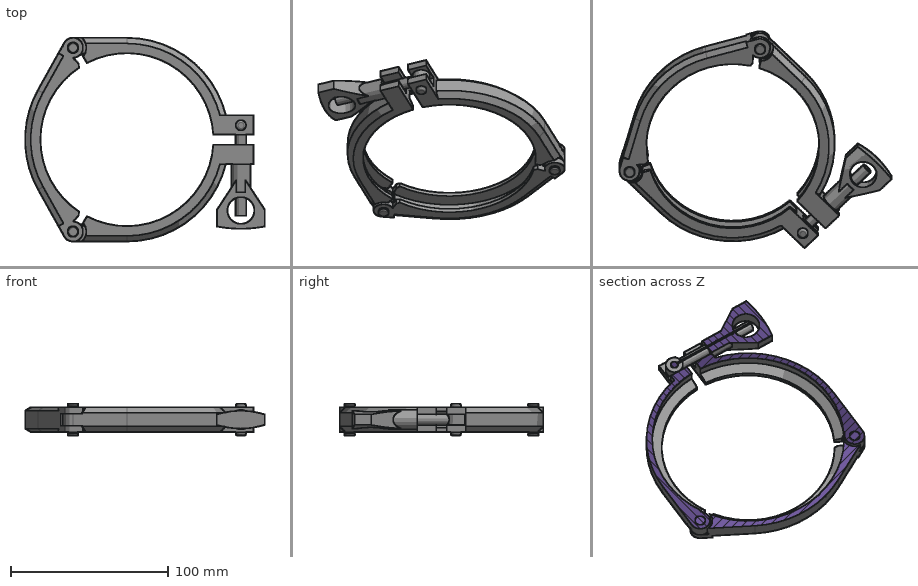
import cadquery as cq
import math

ring_radius = 64.9
bore_radius = 55.0
half_height = 8.0
height = 2 * half_height

groove_radius = 61.3
groove_half_floor = 3.2
groove_half_mouth = 5.2

knuckle_radius = 6.4
hinge_x = -34.3
hinge_y = ring_radius - knuckle_radius
hinge_angle = math.degrees(math.atan2(hinge_y, hinge_x))
hinge_distance = math.hypot(hinge_x, hinge_y)
tangent_angle = 2 * hinge_angle - 90
tongue_half_height = 3.8
fork_slot_radius = 7.6
clearance_radius = 8.47
end_gap = 2.7

side_bevel = 3.7
back_bevel_width = 3.7
back_bevel_depth = 2.1
back_bevel_start = 7.5

tab_inner_y = 3.2
tab_outer_y = 15.5
tab_end_x = 80.5
bolt_x = 72.5
bolt_pin_y = 9.2
bolt_diameter = 6.9
bolt_end_y = -48.5
eye_radius = 5.5
eye_half_height = 3.4

pin_half_length = 10.2
hinge_pin_diameter = 6.1
hinge_head_diameter = 6.9
hinge_head_height = 1.7
hinge_head_round = 0.8
bolt_pin_diameter = 4.7
bolt_head_diameter = 6.5
bolt_head_round = 1.4

barrel_diameter = 12.5
barrel_end_y = -33.5
wing_half_width = 15.3
wing_top_y = -26.0
wing_top_half_width = 3.0
wing_shoulder_y = -44.5
wing_corner_y = -55.2
wing_end_y = -56.8
wing_half_thickness = 5.6
wing_edge_half_thickness = 3.4
wing_hole_diameter = 17.0
wing_hole_y = -45.0


def polar(radius, angle):
    return (radius * math.cos(math.radians(angle)), radius * math.sin(math.radians(angle)))


def hinge_frame(across, outward):
    """Point given by its distance along and across the radial line through the upper hinge."""
    ux, uy = polar(1, hinge_angle)
    return (outward * ux + across * uy, outward * uy - across * ux)


def slab(outline, half):
    return outline.extrude(2 * half).translate((0, 0, -half))


def cylinder(x, y, radius, half):
    return slab(cq.Workplane("XY").center(x, y).circle(radius), half)


def both_ways(shape):
    return shape.union(shape.mirror("XY"))


def ring_of(section):
    """Solid of revolution about Z of a section given as (radius, z) points."""
    return cq.Workplane("XZ").polyline(section).close().revolve(360, (0, 0), (0, 1))


def clamping_groove():
    return ring_of([
        (0, -groove_half_mouth),
        (bore_radius, -groove_half_mouth),
        (groove_radius, -groove_half_floor),
        (groove_radius, groove_half_floor),
        (bore_radius, groove_half_mouth),
        (0, groove_half_mouth),
    ])


def back_arm_outline():
    tangent_point = polar(ring_radius, tangent_angle)
    nx, ny = polar(knuckle_radius, tangent_angle)
    knuckle_back = (hinge_x + nx, hinge_y + ny)
    knuckle_top = (hinge_x, hinge_y + knuckle_radius)
    knuckle_foot = hinge_frame(-3.0, hinge_distance - 5.5)
    tip = hinge_frame(-2.0, 57.0)
    bore_angle = hinge_angle + math.degrees(math.asin(3.0 / bore_radius))
    bore_point = polar(bore_radius, bore_angle)
    lower = [(x, -y) for x, y in (bore_point, tip, knuckle_foot, (hinge_x, hinge_y), knuckle_back)]
    outline = (
        cq.Workplane("XY")
        .moveTo(*tangent_point)
        .lineTo(*knuckle_back)
        .lineTo(hinge_x, hinge_y)
        .lineTo(*knuckle_foot)
        .lineTo(*tip)
        .lineTo(*bore_point)
        .threePointArc((-bore_radius, 0), lower[0])
        .lineTo(*lower[1])
        .lineTo(*lower[2])
        .lineTo(*lower[3])
        .lineTo(*lower[4])
        .lineTo(tangent_point[0], -tangent_point[1])
        .threePointArc((-ring_radius, 0), tangent_point)
        .close()
    )
    return outline


def back_bevel():
    """Shallow bevel along the outer edge: a cone on the arc and a wedge on each straight stretch."""
    low = half_height - back_bevel_depth
    inner = ring_radius - back_bevel_width
    cone = ring_of([(inner, half_height), (ring_radius, low), (ring_radius + 1.5, low), (ring_radius + 1.5, half_height)])
    sector = cq.Workplane("XY").polyline([
        (0, 0), polar(2 * ring_radius, tangent_angle), (-2 * ring_radius, 0),
        polar(2 * ring_radius, -tangent_angle),
    ]).close().extrude(half_height)
    cutter = cone.intersect(sector)
    along = hinge_distance * math.sin(math.radians(tangent_angle - hinge_angle))
    length = along - back_bevel_start
    wedge = (
        cq.Workplane("XZ")
        .polyline([(inner, half_height), (ring_radius, low), (ring_radius + 1.5, low), (ring_radius + 1.5, half_height)])
        .close()
        .extrude(length)
    )
    upper = wedge.rotate((0, 0, 0), (0, 0, 1), tangent_angle)
    return both_ways(cutter.union(upper).union(upper.mirror("XZ")))


def make_back_arm():
    arm = slab(back_arm_outline(), half_height)
    for side in (1, -1):
        arm = arm.union(cylinder(hinge_x, side * hinge_y, knuckle_radius, half_height))
    arm = arm.cut(back_bevel()).cut(clamping_groove())
    for side in (1, -1):
        arm = arm.cut(cylinder(hinge_x, side * hinge_y, fork_slot_radius, tongue_half_height))
        arm = arm.cut(cylinder(hinge_x, side * hinge_y, hinge_pin_diameter / 2, half_height))
    return arm


def side_arm_outline():
    bore_tab_x = math.sqrt(bore_radius ** 2 - tab_inner_y ** 2)
    ring_tab_x = math.sqrt(ring_radius ** 2 - tab_outer_y ** 2)
    end_angle = hinge_angle - math.degrees(math.asin(end_gap / bore_radius))
    tongue_edge = hinge_distance - knuckle_radius
    return (
        cq.Workplane("XY")
        .moveTo(hinge_x, hinge_y + knuckle_radius)
        .lineTo(0, ring_radius)
        .threePointArc(polar(ring_radius, 50), (ring_tab_x, tab_outer_y))
        .lineTo(tab_end_x, tab_outer_y)
        .lineTo(tab_end_x, tab_inner_y)
        .lineTo(bore_tab_x, tab_inner_y)
        .threePointArc(polar(bore_radius, 60), polar(bore_radius, end_angle))
        .lineTo(*hinge_frame(end_gap, tongue_edge))
        .lineTo(*hinge_frame(0, tongue_edge))
        .lineTo(hinge_x, hinge_y)
        .close()
    )


def side_bevel_cutter():
    """45 degree bevel along the outer edge, on the arc and on the straight stretch to the hinge."""
    low = half_height - side_bevel
    inner = ring_radius - side_bevel
    section = [(inner, half_height), (ring_radius, low), (ring_radius + 1.5, low), (ring_radius + 1.5, half_height)]
    quarter = cq.Workplane("XY").box(91.5, 91.5, height, centered=False).translate((0, tab_outer_y, 0))
    cone = ring_of(section).intersect(quarter)
    straight = cq.Workplane("YZ").polyline(section).close().extrude(-61)
    return both_ways(cone.union(straight))


def make_upper_arm_blank():
    arm = slab(side_arm_outline(), half_height)
    arm = arm.cut(side_bevel_cutter())
    clearance = cylinder(hinge_x, hinge_y, clearance_radius, half_height)
    clearance = clearance.cut(cylinder(hinge_x, hinge_y, clearance_radius, tongue_half_height))
    arm = arm.cut(clearance)
    arm = arm.union(cylinder(hinge_x, hinge_y, knuckle_radius, tongue_half_height))
    arm = arm.cut(clamping_groove())
    return arm.cut(cylinder(hinge_x, hinge_y, hinge_pin_diameter / 2, half_height))


def bolt_slot():
    """Slot in a tab that leaves room for the bolt and its eye, open at the end of the tab."""
    slot_start = bolt_x - eye_radius
    return cq.Workplane("XY").box(
        tab_end_x - slot_start, tab_outer_y - tab_inner_y, 2 * (bolt_diameter / 2), centered=(False, False, True)
    ).translate((slot_start, tab_inner_y, 0))


def make_upper_arm():
    arm = make_upper_arm_blank().cut(bolt_slot())
    return arm.cut(cylinder(bolt_x, bolt_pin_y, bolt_pin_diameter / 2, half_height))


def make_lower_arm():
    return make_upper_arm_blank().cut(bolt_slot()).mirror("XZ")


def make_hinge_pin(side):
    shaft = cylinder(0, 0, hinge_pin_diameter / 2, pin_half_length - hinge_head_height)
    head = (
        cq.Workplane("XY")
        .circle(hinge_head_diameter / 2)
        .extrude(hinge_head_height)
        .edges()
        .fillet(hinge_head_round)
        .translate((0, 0, pin_half_length - hinge_head_height))
    )
    return shaft.union(both_ways(head)).translate((hinge_x, side * hinge_y, 0))


def make_bolt_pin():
    shaft = cylinder(0, 0, bolt_pin_diameter / 2, half_height)
    head = (
        cq.Workplane("XY")
        .circle(bolt_head_diameter / 2)
        .extrude(pin_half_length - half_height)
        .faces(">Z")
        .edges()
        .fillet(bolt_head_round)
        .translate((0, 0, half_height))
    )
    return shaft.union(both_ways(head)).translate((bolt_x, bolt_pin_y, 0))


def rod(radius, start_y, end_y):
    return cq.Workplane("XZ", origin=(bolt_x, start_y, 0)).circle(radius).extrude(start_y - end_y)


def make_swing_bolt():
    bolt = rod(bolt_diameter / 2, bolt_pin_y, bolt_end_y)
    bolt = bolt.union(cylinder(bolt_x, bolt_pin_y, eye_radius, eye_half_height))
    return bolt.cut(cylinder(bolt_x, bolt_pin_y, bolt_pin_diameter / 2, half_height))


def make_wing_nut():
    outline = (
        cq.Workplane("XY", origin=(bolt_x, 0, 0))
        .moveTo(-wing_top_half_width, wing_top_y)
        .lineTo(wing_top_half_width, wing_top_y)
        .lineTo(wing_half_width, wing_shoulder_y)
        .lineTo(wing_half_width, wing_corner_y)
        .threePointArc((0, wing_end_y), (-wing_half_width, wing_corner_y))
        .lineTo(-wing_half_width, wing_shoulder_y)
        .close()
    )
    lens = (
        cq.Workplane("XZ", origin=(bolt_x, 0, 0))
        .moveTo(-wing_half_width, -wing_edge_half_thickness)
        .threePointArc((0, -wing_half_thickness), (wing_half_width, -wing_edge_half_thickness))
        .lineTo(wing_half_width, wing_edge_half_thickness)
        .threePointArc((0, wing_half_thickness), (-wing_half_width, wing_edge_half_thickness))
        .close()
        .extrude(-wing_end_y + 1.5)
    )
    wing = slab(outline, half_height).intersect(lens)
    nut = wing.union(rod(barrel_diameter / 2, -tab_outer_y, barrel_end_y))
    nut = nut.cut(cylinder(bolt_x, wing_hole_y, wing_hole_diameter / 2, half_height))
    return nut.cut(rod(bolt_diameter / 2, bolt_pin_y, bolt_end_y))


back_arm = make_back_arm()
upper_arm = make_upper_arm()
lower_arm = make_lower_arm()
hinge_pins = [make_hinge_pin(side) for side in (1, -1)]
bolt_pin = make_bolt_pin()
swing_bolt = make_swing_bolt()
wing_nut = make_wing_nut()

result = cq.Compound.makeCompound([
    back_arm.val(),
    upper_arm.val(),
    lower_arm.val(),
    *[pin.val() for pin in hinge_pins],
    bolt_pin.val(),
    swing_bolt.val(),
    wing_nut.val(),
])